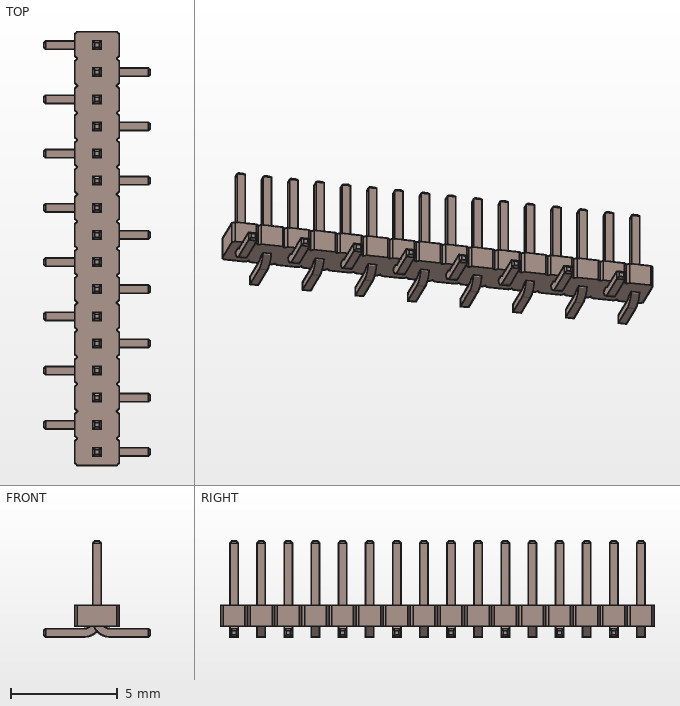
import cadquery as cq

PIN_COUNT = 16
PITCH = 1.27
ROW_LENGTH = PIN_COUNT * PITCH

BODY_WIDTH = 2.1
BODY_HEIGHT = 1.0
BODY_BOTTOM = 0.5
CORNER_CHAMFER = PITCH / 10

WIRE = 0.4
PIN_TOP = 4.5
LEG_REACH = 2.5
TIP_INSET = 0.1
TIP_LENGTH = 0.1

BEND_INNER_RADIUS = 0.4
BEND_OUTER_RADIUS = BEND_INNER_RADIUS + WIRE
BEND_CENTER_X = BEND_OUTER_RADIUS - WIRE / 2
BEND_CENTER_Z = BEND_OUTER_RADIUS


def body_segment(center_y):
    """One pitch of the body, with its four vertical corners chamfered."""
    return (
        cq.Workplane("XY")
        .box(BODY_WIDTH, PITCH, BODY_HEIGHT, centered=(True, True, False))
        .edges("|Z")
        .chamfer(CORNER_CHAMFER)
        .translate((0, center_y, BODY_BOTTOM))
    )


def tapered_tip(base_plane):
    """Short pyramid frustum that ends a square wire."""
    end_width = WIRE - 2 * TIP_INSET
    return (
        cq.Workplane(base_plane)
        .rect(WIRE, WIRE)
        .workplane(offset=TIP_LENGTH)
        .rect(end_width, end_width)
        .loft(ruled=True)
    )


def bent_contact():
    """Square wire centred on Y = 0: a flat leg toward +X bent into an upright pin."""
    leg_end = LEG_REACH - TIP_LENGTH
    pin_end = PIN_TOP - TIP_LENGTH
    wire = (
        cq.Workplane("XZ")
        .moveTo(leg_end, 0)
        .lineTo(BEND_CENTER_X, 0)
        .radiusArc((-WIRE / 2, BEND_CENTER_Z), BEND_OUTER_RADIUS)
        .lineTo(-WIRE / 2, pin_end)
        .lineTo(WIRE / 2, pin_end)
        .lineTo(WIRE / 2, BEND_CENTER_Z)
        .radiusArc((BEND_CENTER_X, WIRE), -BEND_INNER_RADIUS)
        .lineTo(leg_end, WIRE)
        .close()
        .extrude(WIRE / 2, both=True)
    )
    leg_end_plane = cq.Plane(origin=(leg_end, 0, WIRE / 2), xDir=(0, 1, 0), normal=(1, 0, 0))
    pin_end_plane = cq.Plane(origin=(0, 0, pin_end))
    return wire.union(tapered_tip(leg_end_plane)).union(tapered_tip(pin_end_plane))


def build_header():
    """Body segments and contacts along Y, with legs alternating sides."""
    first_y = (PITCH - ROW_LENGTH) / 2
    centers_y = [first_y + index * PITCH for index in range(PIN_COUNT)]

    header = body_segment(centers_y[0])
    for center_y in centers_y[1:]:
        header = header.union(body_segment(center_y))
    header = header.clean()

    right_contact = bent_contact()
    left_contact = right_contact.mirror("YZ")
    for index, center_y in enumerate(centers_y):
        contact = right_contact if index % 2 == 0 else left_contact
        header = header.union(contact.translate((0, center_y, 0)))
    return header


result = build_header()